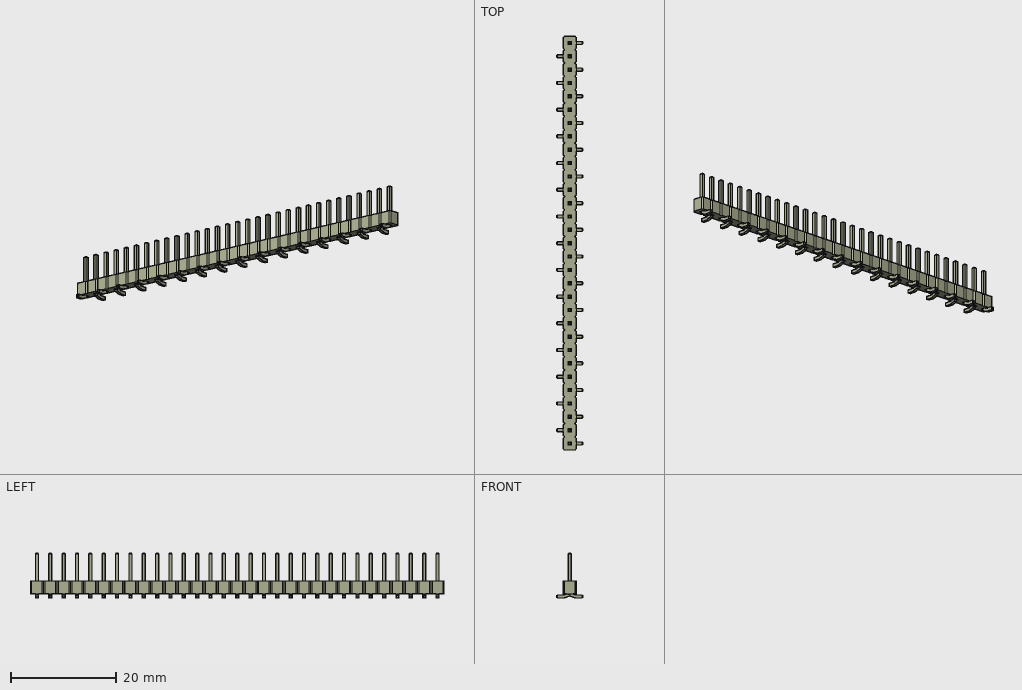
import cadquery as cq

pin_count = 31
row_length = 78.75
pitch = row_length / pin_count

wire = 0.6
half_wire = wire / 2
tip_taper = 0.15

foot_clearance = 0.2
housing_bottom = wire + foot_clearance
housing_width = 2.5
housing_height = 2.45
corner_cut = 0.275
housing_top = housing_bottom + housing_height

post_length = 5.3
post_top = housing_top + post_length

foot_span = 5.0
foot_reach = foot_span / 2
foot_flat_start = 1.1
foot_rise = 0.4


def make_housing_segment(y):
    """One housing block, with its four upright corners cut off."""
    return (
        cq.Workplane("XY", origin=(0, y, housing_bottom))
        .rect(housing_width, pitch)
        .extrude(housing_height)
        .edges("|Z")
        .chamfer(corner_cut)
    )


def make_post(y):
    """A straight square post whose lower end is joined to the inner end of its foot."""
    post_bottom = foot_rise + half_wire
    return (
        cq.Workplane("XY", origin=(0, y, post_bottom))
        .rect(wire, wire)
        .extrude(post_top - post_bottom)
        .faces(">Z")
        .chamfer(tip_taper)
    )


def make_foot(y, side):
    """A foot that leaves the post towards +X (side = 1) or -X (side = -1)."""
    return (
        cq.Workplane("XZ", origin=(0, y + half_wire, 0))
        .moveTo(0, foot_rise)
        .lineTo(side * foot_flat_start, 0)
        .lineTo(side * foot_reach, 0)
        .lineTo(side * foot_reach, wire)
        .lineTo(side * foot_flat_start, wire)
        .lineTo(0, foot_rise + wire)
        .close()
        .extrude(wire)
        .faces(">X" if side > 0 else "<X")
        .chamfer(tip_taper)
    )


pieces = []
for index in range(pin_count):
    y = (index - (pin_count - 1) / 2) * pitch
    side = 1 if index % 2 == 0 else -1
    for piece in (make_housing_segment(y), make_post(y), make_foot(y, side)):
        pieces.append(piece.val())

fused = pieces[0].fuse(*pieces[1:]).clean()
result = cq.Workplane("XY").newObject(fused.Solids())